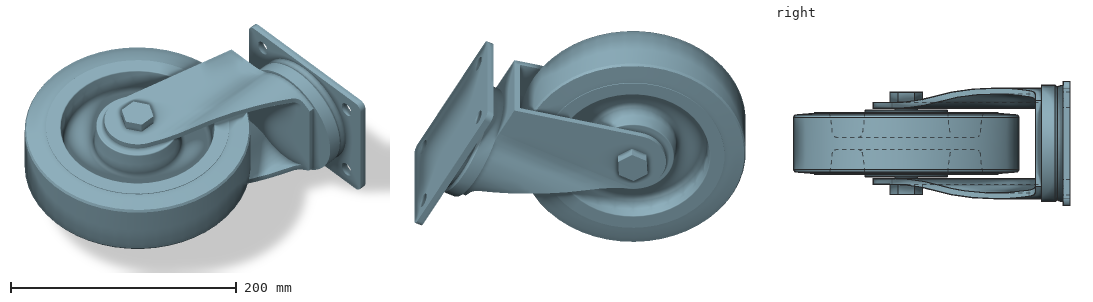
import cadquery as cq
import math


overall_length = 245.0

wheel_radius = 100.0
tread_side_height = 23.0
tread_edge_height = 25.2
tread_edge_inset = 1.2
tread_inner_height = 26.7
rim_radius = 162.5 / 2
rim_height = 27.5
recess_radius = 68.0
recess_floor_radius = 65.2
recess_floor_height = 5.5
recess_edge_fillet = 1.0
recess_floor_fillet = 4.5
hub_radius = 36.5
hub_base_radius = 39.2
hub_height = 29.6
hub_edge_fillet = 1.0
hub_base_fillet = 4.0

axle_diameter = 20.0
bolt_across_flats = 25.2
bolt_end_height = 45.3

plate_length = 140.1
plate_width = 110.0
plate_thickness = 6.1
plate_corner_radius = 6.4
plate_back = overall_length - wheel_radius
plate_front = plate_back - plate_thickness
swivel_x = plate_length / 2
slot_spacing_x = 105.4
slot_spacing_z = 77.2
slot_width = 11.5
slot_length = 13.7

head_radius = 103.1 / 2
head_front = 119.5
collar_shoulder = 131.5
neck_y = 133.8
neck_radius = 50.0

fork_thickness = 5.1
arm_outer_height = 36.3
arm_bend_x = 26.7
crown_radius = 49.0
fork_base_front = head_front - fork_thickness
fork_base_left = -2.5
fork_base_right = 101.0
arm_end_radius = 29.5
arm_edge_lean = 25.6
arm_edge_fillet = 9.8


def fillet_circle(body, radius, height, fillet):
    """Round the circular edge of the given radius, centred on the axle at the given height."""
    margin = 0.2

    def box_around(reach):
        low = (-reach, -reach, height - margin)
        high = (reach, reach, height + margin)
        return cq.selectors.BoxSelector(low, high, boundingbox=True)

    edge = box_around(radius + margin) - box_around(radius - margin)
    return body.edges(edge).fillet(fillet)


def make_wheel():
    half_profile = (
        cq.Workplane("XZ")
        .lineTo(wheel_radius, 0)
        .lineTo(wheel_radius, tread_side_height)
        .lineTo(wheel_radius - tread_edge_inset, tread_edge_height)
        .lineTo(rim_radius, tread_inner_height)
        .lineTo(rim_radius, rim_height)
        .lineTo(recess_radius, rim_height)
        .lineTo(recess_floor_radius, recess_floor_height)
        .lineTo(hub_base_radius, recess_floor_height)
        .lineTo(hub_radius, hub_height)
        .lineTo(0, hub_height)
        .close()
    )
    half = half_profile.revolve(360, (0, 0, 0), (0, 1, 0))
    half = fillet_circle(half, recess_radius, rim_height, recess_edge_fillet)
    half = fillet_circle(half, recess_floor_radius, recess_floor_height, recess_floor_fillet)
    half = fillet_circle(half, hub_base_radius, recess_floor_height, hub_base_fillet)
    half = fillet_circle(half, hub_radius, hub_height, hub_edge_fillet)
    return half.union(half.mirror("XY"))


def make_axle():
    shaft = cq.Workplane("XY").circle(axle_diameter / 2).extrude(arm_outer_height, both=True)
    across_corners = bolt_across_flats / math.cos(math.radians(30))
    head = (
        cq.Workplane("XY", origin=(0, 0, arm_outer_height))
        .transformed(rotate=(0, 0, 90))
        .polygon(6, across_corners)
        .extrude(bolt_end_height - arm_outer_height)
    )
    return shaft.union(head).union(head.mirror("XY"))


def make_plate():
    plate = (
        cq.Workplane("XZ", origin=(swivel_x, plate_front, 0))
        .rect(plate_length, plate_width)
        .extrude(-plate_thickness)
        .edges("|Y")
        .fillet(plate_corner_radius)
    )
    slots = (
        cq.Workplane("XZ", origin=(swivel_x, plate_front, 0))
        .rect(slot_spacing_x, slot_spacing_z, forConstruction=True)
        .vertices()
        .slot2D(slot_length, slot_width, 90)
        .extrude(-plate_thickness)
    )
    return plate.cut(slots)


def make_swivel_head():
    neck_inset = head_radius - neck_radius
    ring_curve_radius = (neck_inset**2 + (plate_front - neck_y) ** 2) / (2 * neck_inset)
    profile = (
        cq.Workplane("XY", origin=(swivel_x, 0, 0))
        .moveTo(0, head_front)
        .lineTo(head_radius, head_front)
        .lineTo(head_radius, collar_shoulder)
        .lineTo(neck_radius, neck_y)
        .radiusArc((head_radius, plate_front), -ring_curve_radius)
        .lineTo(0, plate_front)
        .close()
    )
    return profile.revolve(360, (0, 0, 0), (0, 1, 0))


def fork_section(inset):
    """Flat cheeks that swell through a reverse bend into the round crown, offset inward by inset."""
    height = arm_outer_height - inset
    radius = crown_radius - inset
    run = swivel_x - arm_bend_x
    bend_radius = (run**2 + height**2 - radius**2) / (2 * (radius - height))
    bend_center_z = height + bend_radius
    share = bend_radius / (bend_radius + radius)
    tangent_x = arm_bend_x + run * share
    tangent_z = bend_center_z * (1 - share)
    half_angle = math.atan2(run, bend_center_z) / 2
    middle_x = arm_bend_x + bend_radius * math.sin(half_angle)
    middle_z = bend_center_z - bend_radius * math.cos(half_angle)
    section_left = -2 * arm_end_radius
    return (
        cq.Workplane("ZX")
        .moveTo(-height, section_left)
        .lineTo(height, section_left)
        .lineTo(height, arm_bend_x)
        .threePointArc((middle_z, middle_x), (tangent_z, tangent_x))
        .threePointArc((0, swivel_x + radius), (-tangent_z, tangent_x))
        .threePointArc((-middle_z, middle_x), (-height, arm_bend_x))
        .close()
    )


def make_fork_side():
    """Side outline of the fork, extruded through its full width."""
    corner_distance = math.hypot(fork_base_left, head_front)
    corner_angle = math.atan2(head_front, fork_base_left)
    left_angle = corner_angle + math.acos(arm_end_radius / corner_distance)
    right_angle = -math.radians(arm_edge_lean)

    def on_arm_end(angle):
        return (arm_end_radius * math.cos(angle), arm_end_radius * math.sin(angle))

    inner_corner_x = (arm_end_radius - fork_base_front * math.sin(right_angle)) / math.cos(right_angle)
    side = (
        cq.Workplane("XY")
        .moveTo(fork_base_left, head_front)
        .lineTo(*on_arm_end(left_angle))
        .threePointArc((0, -arm_end_radius), on_arm_end(right_angle))
        .lineTo(inner_corner_x, fork_base_front)
        .lineTo(fork_base_right, fork_base_front)
        .lineTo(fork_base_right, head_front)
        .close()
        .extrude(crown_radius, both=True)
    )
    corner = cq.selectors.NearestToPointSelector((inner_corner_x, fork_base_front, 0))
    return side.edges("|Z").edges(corner).fillet(arm_edge_fillet)


def make_fork():
    lowest = -2 * arm_end_radius
    drop = (0, lowest, 0)
    outside = fork_section(0).extrude(head_front - lowest).translate(drop)
    inside = fork_section(fork_thickness).extrude(fork_base_front - lowest).translate(drop)
    return make_fork_side().intersect(outside).cut(inside)


result = (
    make_wheel()
    .union(make_axle())
    .union(make_fork())
    .union(make_swivel_head())
    .union(make_plate())
)